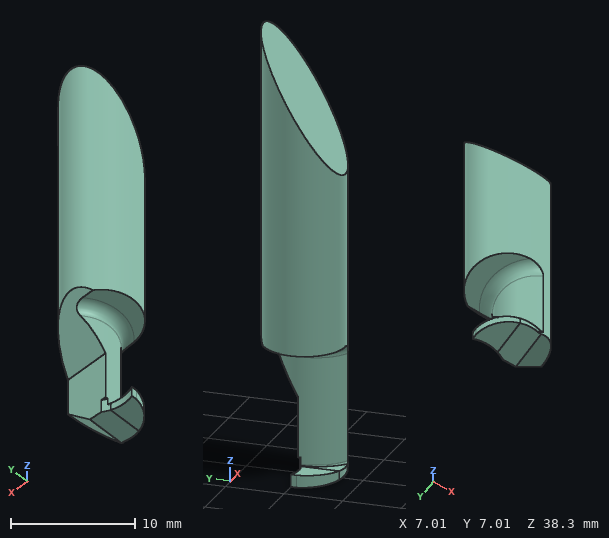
import cadquery as cq
import math

total_height = 38.3
shank_radius = 3.505
end_slope = math.tan(math.radians(60))
tip_chamfer_start = 2.75

neck_radius = 3.6
neck_axis_x = 2.85
shoulder_z = 11.3
shoulder_fillet = 1.05
hook_fillet = 0.3
hook_fillet_top = 1.05

rake_y = 0.3
rake_top_z = 6.75

hook_radius = 3.45
hook_end_x = -3.4
hook_height = 1.07
hook_taper = 0.06

scoop_radius = 3.68
scoop_x = -2.2
scoop_y = 3.45
scoop_height = 1.57

joint_x = -1.0

margin = 11.5


def block(x_min, x_max, z_min, z_max):
    """Box between the given X and Z limits, wider than the part in Y."""
    size_x = x_max - x_min
    size_z = z_max - z_min
    box = cq.Workplane("XY").box(size_x, 2 * margin, size_z, centered=(False, True, False))
    return box.translate((x_min, 0, z_min))


def side_prism(points):
    """Prism along X from a (Y, Z) outline, wider than the part in X."""
    return cq.Workplane("YZ").polyline(points).close().extrude(margin, both=True)


def front_prism(points):
    """Prism along Y from an (X, Z) outline, wider than the part in Y."""
    return cq.Workplane("XZ").polyline(points).close().extrude(margin, both=True)


def bar():
    """Round bar with a slanted top end and a chamfered lower +X edge."""
    body = cq.Workplane("XY").circle(shank_radius).extrude(total_height)
    low_side_z = total_height - 2 * shank_radius * end_slope
    body = body.cut(side_prism([
        (shank_radius, total_height),
        (-shank_radius, low_side_z),
        (-shank_radius - margin, low_side_z),
        (-shank_radius - margin, total_height),
    ]))
    chamfer = front_prism([
        (shank_radius, tip_chamfer_start),
        (shank_radius - tip_chamfer_start, 0),
        (shank_radius, 0),
    ])
    return body.cut(chamfer)


def neck_form():
    """Round neck that flares into the shoulder above and the hook below."""
    hook_flare_z = hook_fillet_top - hook_fillet
    diagonal = 1 - math.sqrt(0.5)
    profile = (
        cq.Workplane("XZ")
        .lineTo(neck_radius + hook_fillet, 0)
        .lineTo(neck_radius + hook_fillet, hook_flare_z)
        .threePointArc(
            (neck_radius + hook_fillet * diagonal, hook_flare_z + hook_fillet * diagonal),
            (neck_radius, hook_fillet_top),
        )
        .lineTo(neck_radius, shoulder_z - shoulder_fillet)
        .threePointArc(
            (neck_radius + shoulder_fillet * diagonal, shoulder_z - shoulder_fillet * diagonal),
            (neck_radius + shoulder_fillet, shoulder_z),
        )
        .lineTo(0, shoulder_z)
        .close()
    )
    return profile.revolve(360, (0, 0, 0), (0, 1, 0)).translate((neck_axis_x, 0, 0))


def hook_form():
    """Round plate with a tapering thickness and a flat end on -X."""
    disc = cq.Workplane("XY").circle(hook_radius).extrude(hook_height)
    taper = hook_taper * (hook_radius - hook_end_x)
    wedge = front_prism([
        (hook_end_x, 0),
        (hook_radius, taper),
        (hook_radius, hook_height - taper),
        (hook_end_x, hook_height),
    ])
    return disc.intersect(wedge)


def below_hook():
    """Wedge of clearance under the sloping bottom of the hook."""
    return front_prism([
        (hook_end_x, 0),
        (shank_radius, 0),
        (shank_radius, hook_taper * (shank_radius - hook_end_x)),
    ])


def rake_cut():
    """Everything behind the flat rake face and its slanted run-out."""
    far_y = shank_radius + margin
    return side_prism([
        (rake_y, 0),
        (rake_y, rake_top_z),
        (far_y, rake_top_z + (far_y - rake_y) * end_slope),
        (far_y, 0),
    ])


def whole_tool():
    """Complete tool before it is divided into holder and cutting tip."""
    relief = block(-margin, neck_axis_x, 0, shoulder_z).cut(neck_form()).cut(hook_form())
    scoop = cq.Workplane("XY").center(scoop_x, scoop_y).circle(scoop_radius).extrude(scoop_height)
    return bar().cut(rake_cut()).cut(relief).cut(below_hook()).cut(scoop)


tool = whole_tool()
tip_space = block(-margin, joint_x, 0, hook_height)
holder = tool.cut(tip_space)
cutting_tip = tool.intersect(tip_space)

result = cq.Compound.makeCompound([holder.val(), cutting_tip.val()])